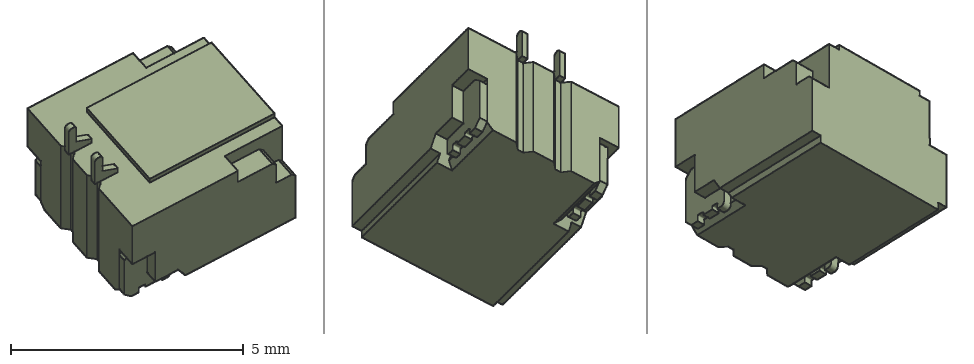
import cadquery as cq


WIDTH = 4.0
LENGTH = 4.25
BODY_HEIGHT = 2.77
FRONT_Y = -LENGTH / 2
BACK_Y = LENGTH / 2
HALF_WIDTH = WIDTH / 2

PAD_WIDTH = 2.405
PAD_LENGTH = 3.25
PAD_HEIGHT = 0.128
PAD_TOP_Z = BODY_HEIGHT + PAD_HEIGHT

SHOULDER_WIDTH = 0.5
SHOULDER_CHAMFER = 0.1
UPPER_STEP_LENGTH = 1.5
UPPER_STEP_Z = 2.4
LOWER_STEP_LENGTH = 0.5
LOWER_STEP_Z = 1.7

FOOT_INSET = 0.25
FOOT_HEIGHT = 0.19

RECESS_WIDTH = 0.5
RECESS_HEIGHT = 1.495
RECESS_DEPTH = 0.6
RECESS_FOOT_HEIGHT = 0.5
RECESS_FOOT_DEPTH = 1.195
RECESS_SLOPE_RUN = 0.298
RECESS_EDGE_CHAMFER = 0.15
RECESS_INNER_X = HALF_WIDTH - RECESS_WIDTH

TAB_THICKNESS = 0.2
TAB_MIDDLE_X = RECESS_INNER_X + TAB_THICKNESS / 2
TAB_FRONT_CHAMFER = 0.175
TAB_BACK_FILLET = 0.1
TAB_NOTCH_START = 0.375
TAB_NOTCH_LENGTH = 0.61
TAB_NOTCH_HEIGHT = 0.157
TAB_NOTCH_FILLET = 0.025
TAB_TOOTH_START = 0.55
TAB_TOOTH_LENGTH = 0.28
TAB_TOOTH_BOTTOM_Z = 0.072

CONTACT_COUNT = 2
CONTACT_PITCH = 1.0
CONTACT_WIDTH = 0.15
CONTACT_TOP_Z = 3.6
CONTACT_LENGTH = 0.6
POST_THICKNESS = 0.2
POST_FILLET = 0.09
POST_FOOT_Z = 3.08
GROOVE_DEPTH = 0.157
GROOVE_MOUTH = 0.46

CONTACT_XS = [(i - (CONTACT_COUNT - 1) / 2) * CONTACT_PITCH for i in range(CONTACT_COUNT)]
SIDES = (-1, 1)


def box(x_range, y_range, z_range):
    """Box between the given limits on each axis."""
    size = [high - low for low, high in (x_range, y_range, z_range)]
    corner = cq.Vector(x_range[0], y_range[0], z_range[0])
    return cq.Workplane("XY").box(*size, centered=False).translate(corner)


def side_plate(points, inner_x, outer_x, side):
    """Extrude a (y, z) outline between two distances from the middle plane, on one side."""
    start_x = min(side * inner_x, side * outer_x)
    plane = cq.Workplane("YZ", origin=(start_x, 0, 0))
    return plane.polyline(points).close().extrude(outer_x - inner_x)


def shoulder_cut(side):
    """Material removed above and behind the stepped shoulder on one side."""
    upper_front_y = BACK_Y - UPPER_STEP_LENGTH
    lower_front_y = BACK_Y - LOWER_STEP_LENGTH
    outline = [
        (upper_front_y, BODY_HEIGHT),
        (upper_front_y, UPPER_STEP_Z),
        (lower_front_y - SHOULDER_CHAMFER, UPPER_STEP_Z),
        (lower_front_y, UPPER_STEP_Z - SHOULDER_CHAMFER),
        (lower_front_y, LOWER_STEP_Z),
        (BACK_Y - SHOULDER_CHAMFER, LOWER_STEP_Z),
        (BACK_Y, LOWER_STEP_Z - SHOULDER_CHAMFER),
        (BACK_Y, BODY_HEIGHT),
    ]
    return side_plate(outline, HALF_WIDTH - SHOULDER_WIDTH, HALF_WIDTH, side)


def foot_cut(side):
    """Strip removed along the lower outer edge, leaving the narrower foot."""
    xs = sorted((side * (HALF_WIDTH - FOOT_INSET), side * HALF_WIDTH))
    return box(xs, (FRONT_Y, BACK_Y), (0, FOOT_HEIGHT))


def recess_cut(side):
    """Corner recess for a solder tab, with a sloped back wall and a chamfered inner edge."""
    outline = [
        (FRONT_Y, 0),
        (FRONT_Y, RECESS_HEIGHT),
        (FRONT_Y + RECESS_DEPTH, RECESS_HEIGHT),
        (FRONT_Y + RECESS_DEPTH, RECESS_FOOT_HEIGHT),
        (FRONT_Y + RECESS_FOOT_DEPTH, RECESS_FOOT_HEIGHT),
        (FRONT_Y + RECESS_FOOT_DEPTH + RECESS_SLOPE_RUN, 0),
    ]
    recess = side_plate(outline, RECESS_INNER_X, HALF_WIDTH, side)
    bevel_inner_x = RECESS_INNER_X - RECESS_EDGE_CHAMFER
    beside_recess = side_plate(outline, bevel_inner_x, RECESS_INNER_X, side)
    bevel_prism = (
        cq.Workplane("XZ", origin=(0, FRONT_Y, 0))
        .moveTo(side * RECESS_INNER_X, 0)
        .lineTo(side * RECESS_INNER_X, RECESS_EDGE_CHAMFER)
        .lineTo(side * bevel_inner_x, 0)
        .close()
        .extrude(-LENGTH)
    )
    return recess.union(beside_recess.intersect(bevel_prism))


def contact_groove(x):
    """Flared groove down the front face below one contact tail."""
    return (
        cq.Workplane("XY")
        .moveTo(x - GROOVE_MOUTH / 2, FRONT_Y)
        .lineTo(x - CONTACT_WIDTH / 2, FRONT_Y + GROOVE_DEPTH)
        .lineTo(x + CONTACT_WIDTH / 2, FRONT_Y + GROOVE_DEPTH)
        .lineTo(x + GROOVE_MOUTH / 2, FRONT_Y)
        .close()
        .extrude(BODY_HEIGHT)
    )


def make_housing():
    """Housing block with its raised pad, shoulders, foot, tab recesses and contact grooves."""
    housing = box((-HALF_WIDTH, HALF_WIDTH), (FRONT_Y, BACK_Y), (0, BODY_HEIGHT))
    pad_xs = (-PAD_WIDTH / 2, PAD_WIDTH / 2)
    housing = housing.union(box(pad_xs, (BACK_Y - PAD_LENGTH, BACK_Y), (BODY_HEIGHT, PAD_TOP_Z)))
    for side in SIDES:
        housing = housing.cut(shoulder_cut(side))
        housing = housing.cut(foot_cut(side))
        housing = housing.cut(recess_cut(side))
    for x in CONTACT_XS:
        housing = housing.cut(contact_groove(x))
    return housing


def make_contact_tail(x):
    """Contact tail standing on the housing: a low sloped heel behind a round-topped post."""
    post_back_y = FRONT_Y + POST_THICKNESS
    heel_back_y = FRONT_Y + CONTACT_LENGTH
    outline = [
        (FRONT_Y, BODY_HEIGHT),
        (FRONT_Y, CONTACT_TOP_Z),
        (post_back_y, CONTACT_TOP_Z),
        (post_back_y, POST_FOOT_Z),
        (heel_back_y, PAD_TOP_Z),
        (heel_back_y, BODY_HEIGHT),
    ]
    plane = cq.Workplane("YZ", origin=(x - CONTACT_WIDTH / 2, 0, 0))
    tail = plane.polyline(outline).close().extrude(CONTACT_WIDTH)
    return tail.faces(">Z").edges("|X").fillet(POST_FILLET)


def make_solder_tab(side):
    """Solder tab lying against the inner wall of its recess, with a notched lower edge."""
    tab_back_y = FRONT_Y + RECESS_FOOT_DEPTH
    notch_front_y = FRONT_Y + TAB_NOTCH_START
    notch_back_y = notch_front_y + TAB_NOTCH_LENGTH
    tooth_front_y = FRONT_Y + TAB_TOOTH_START
    tooth_back_y = tooth_front_y + TAB_TOOTH_LENGTH
    outline = [
        (FRONT_Y, TAB_FRONT_CHAMFER),
        (FRONT_Y, RECESS_HEIGHT - TAB_FRONT_CHAMFER),
        (FRONT_Y + TAB_FRONT_CHAMFER, RECESS_HEIGHT),
        (FRONT_Y + RECESS_DEPTH, RECESS_HEIGHT),
        (FRONT_Y + RECESS_DEPTH, RECESS_FOOT_HEIGHT),
        (tab_back_y, RECESS_FOOT_HEIGHT),
        (tab_back_y, 0),
        (notch_back_y, 0),
        (notch_back_y, TAB_NOTCH_HEIGHT),
        (tooth_back_y, TAB_NOTCH_HEIGHT),
        (tooth_back_y, TAB_TOOTH_BOTTOM_Z),
        (tooth_front_y, TAB_TOOTH_BOTTOM_Z),
        (tooth_front_y, TAB_NOTCH_HEIGHT),
        (notch_front_y, TAB_NOTCH_HEIGHT),
        (notch_front_y, 0),
        (FRONT_Y + TAB_FRONT_CHAMFER, 0),
    ]
    tab = side_plate(outline, RECESS_INNER_X, RECESS_INNER_X + TAB_THICKNESS, side)
    back_corner = cq.selectors.NearestToPointSelector((side * TAB_MIDDLE_X, tab_back_y, 0))
    tab = tab.edges("|X").edges(back_corner).fillet(TAB_BACK_FILLET)
    for y in (notch_front_y, tooth_front_y, tooth_back_y, notch_back_y):
        corner = cq.selectors.NearestToPointSelector((side * TAB_MIDDLE_X, y, TAB_NOTCH_HEIGHT))
        tab = tab.edges("|X").edges(corner).fillet(TAB_NOTCH_FILLET)
    return tab


housing = make_housing()
contact_tails = [make_contact_tail(x) for x in CONTACT_XS]
solder_tabs = [make_solder_tab(side) for side in SIDES]

bodies = [housing, *contact_tails, *solder_tabs]
result = cq.Compound.makeCompound([body.val() for body in bodies])